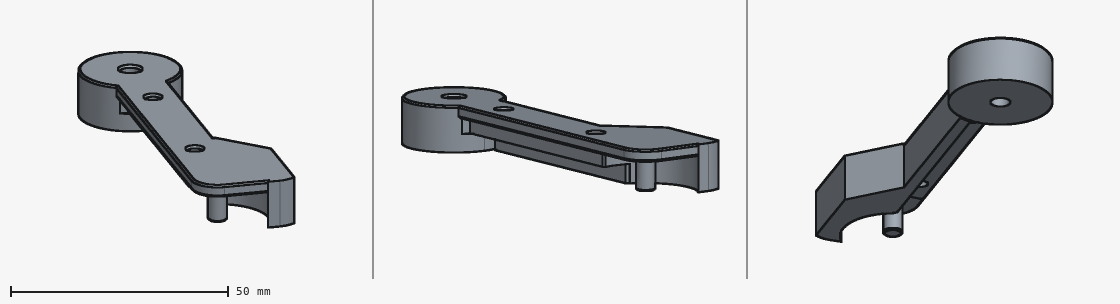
import cadquery as cq
import math

overall_length = 93.55
height = 11.2
hub_radius = 12.0
hub_bottom = 0.3
arm_half_width = 6.2
plate_bottom = 8.3
edge_chamfer = 0.5

pin_x = 74.9
pin_diameter = 4.5
pin_bottom = 0.75
pin_chamfer = 0.4
head_right = pin_x + arm_half_width
head_top = 16.8
slope_start_x = 49.5
slope_end_x = slope_start_x + head_top - arm_half_width
lip_right = overall_length - hub_radius
lip_top_x = 80.3
lip_straight_top = 13.1
lip_arc_mid = (81.2, 15.0)

clearance_radius = 12.2
ledge_z = 4.6
wall_y = 3.3
wall_corner_chamfer = 0.7
hub_notch_x = 10.7

hub_hole_diameter = 4.6
screw_hole_diameter = 3.3
screw_hole_xs = (19.5, 55.5)
hole_chamfer = 0.6

hub_join_x = math.sqrt(hub_radius**2 - arm_half_width**2)
clearance_left_x = pin_x - math.sqrt(clearance_radius**2 - wall_y**2)


def cylinder(x, diameter, bottom, top):
    return cq.Workplane("XY", origin=(x, 0, bottom)).circle(diameter / 2).extrude(top - bottom)


def make_plate():
    """Top plate with hub and head in one outline, bevelled along its rims."""
    corner = arm_half_width * math.sqrt(0.5)
    plate = (
        cq.Workplane("XY", origin=(0, 0, plate_bottom))
        .moveTo(hub_join_x, -arm_half_width)
        .lineTo(pin_x, -arm_half_width)
        .threePointArc((pin_x + corner, -corner), (head_right, 0))
        .lineTo(head_right, lip_straight_top)
        .lineTo(lip_top_x, head_top)
        .lineTo(slope_end_x, head_top)
        .lineTo(slope_start_x, arm_half_width)
        .lineTo(hub_join_x, arm_half_width)
        .threePointArc((-hub_radius, 0), (hub_join_x, -arm_half_width))
        .close()
        .extrude(height - plate_bottom)
    )
    return plate.faces(">Z or <Z").chamfer(edge_chamfer)


def make_wall(front_y, bottom, top):
    """Layer of the arm body from its front wall back to the outer outline."""
    return (
        cq.Workplane("XY", origin=(0, 0, bottom))
        .moveTo(0, front_y)
        .lineTo(clearance_left_x - wall_corner_chamfer, front_y)
        .lineTo(clearance_left_x, front_y + wall_corner_chamfer)
        .lineTo(pin_x, front_y + wall_corner_chamfer)
        .lineTo(lip_right, wall_y)
        .lineTo(lip_right, lip_straight_top)
        .threePointArc(lip_arc_mid, (lip_top_x, head_top))
        .lineTo(slope_end_x, head_top)
        .lineTo(slope_start_x, arm_half_width)
        .lineTo(0, arm_half_width)
        .close()
        .extrude(top - bottom)
    )


def make_head_rim():
    """Sharp upper rim along the slope, the back edge and the lip of the head."""
    return (
        cq.Workplane("XY", origin=(0, 0, plate_bottom))
        .moveTo(slope_start_x, arm_half_width)
        .lineTo(slope_end_x, head_top)
        .lineTo(lip_top_x, head_top)
        .threePointArc(lip_arc_mid, (lip_right, lip_straight_top))
        .lineTo(lip_right, arm_half_width)
        .lineTo(head_right - edge_chamfer, arm_half_width)
        .close()
        .extrude(height - plate_bottom)
    )


def make_body():
    """Stepped walls and head rim with the hub space and the pin clearance cut away."""
    lower_wall = make_wall(wall_y, 0, ledge_z)
    upper_wall = make_wall(-wall_y, ledge_z, height - edge_chamfer)
    body = lower_wall.union(upper_wall).union(make_head_rim())
    hub_space = cylinder(0, 2 * hub_radius, 0, height)
    clearance = cylinder(pin_x, 2 * clearance_radius, 0, height)
    return body.cut(hub_space).cut(clearance)


def make_hub_notch():
    """Cutter that squares off the hub where the upper wall runs into it."""
    return cq.Workplane("XY").box(
        hub_radius - hub_notch_x, hub_radius - wall_y, plate_bottom - ledge_z, centered=False
    ).translate((hub_notch_x, -hub_radius, ledge_z))


def make_hole(x, diameter):
    """Through-hole cutter with a countersink at the top face."""
    rim_radius = diameter / 2 + hole_chamfer
    countersink = (
        cq.Workplane("XY", origin=(x, 0, height))
        .circle(rim_radius)
        .workplane(offset=-hole_chamfer)
        .circle(diameter / 2)
        .loft(ruled=True)
    )
    return cylinder(x, diameter, 0, height).union(countersink)


hub = cylinder(0, 2 * hub_radius, hub_bottom, height).faces(">Z").chamfer(edge_chamfer).cut(make_hub_notch())
pin = cylinder(pin_x, pin_diameter, pin_bottom, plate_bottom).faces("<Z").chamfer(pin_chamfer)

result = make_plate().union(make_body()).union(hub).union(pin)
result = result.cut(make_hole(0, hub_hole_diameter))
for hole_x in screw_hole_xs:
    result = result.cut(make_hole(hole_x, screw_hole_diameter))